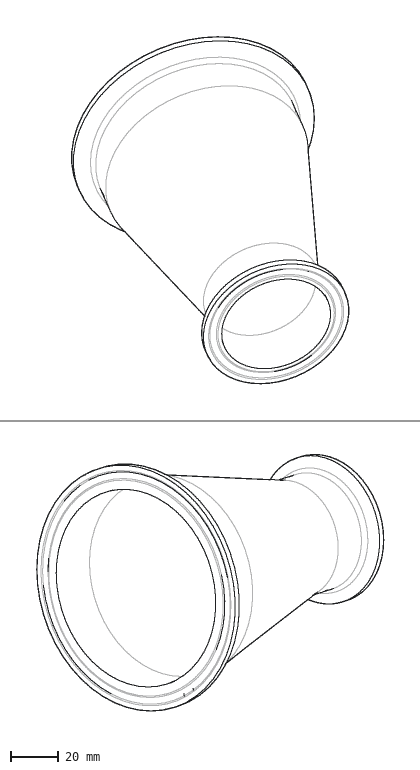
import cadquery as cq

length = 130.0
large_outer_radius = 89.0 / 2
large_bore_radius = 85.2 / 2
small_outer_radius = 50.8 / 2
small_bore_radius = 47.8 / 2

taper_start = 23.0
taper_end = 107.0

large_flange_radius = 106.0 / 2
small_flange_radius = 64.0 / 2
rim_width = 2.9
back_slope = 0.36
neck_fillet = 2.5

groove_inset = 2.7
groove_width = 3.2
groove_depth = 1.0
groove_lip_radius = 0.8


def ferrule_flange(flange_radius, tube_radius, bore_radius, tube_length):
    """Flanged tube end with its face at x = 0, running toward +X, before the groove is cut."""
    back_end = rim_width + back_slope * (flange_radius - tube_radius)
    body = (
        cq.Workplane("XY")
        .moveTo(0, bore_radius)
        .lineTo(0, flange_radius)
        .lineTo(rim_width, flange_radius)
        .lineTo(back_end, tube_radius)
        .lineTo(tube_length, tube_radius)
        .lineTo(tube_length, bore_radius)
        .close()
        .revolve(360, (0, 0, 0), (1, 0, 0))
    )
    neck_edge = cq.selectors.BoxSelector(
        (back_end - 0.1, -flange_radius, -flange_radius),
        (back_end + 0.1, flange_radius, flange_radius),
    )
    return body.edges(neck_edge).fillet(neck_fillet)


def gasket_groove(flange_radius):
    """Arc-section ring to remove from a face at x = 0."""
    outer = flange_radius - groove_inset
    inner = outer - groove_width
    return (
        cq.Workplane("XY")
        .moveTo(0, inner)
        .threePointArc((groove_depth, (inner + outer) / 2), (0, outer))
        .close()
        .revolve(360, (0, 0, 0), (1, 0, 0))
    )


def ferrule(flange_radius, tube_radius, bore_radius, tube_length):
    """Complete clamp end with its groove and rounded groove lips."""
    flange = ferrule_flange(flange_radius, tube_radius, bore_radius, tube_length)
    grooved = flange.cut(gasket_groove(flange_radius))
    groove_outer = flange_radius - groove_inset
    groove_inner = groove_outer - groove_width

    def is_groove_lip(edge):
        radius = edge.radius()
        return any(abs(radius - lip) < 0.01 for lip in (groove_inner, groove_outer))

    lips = grooved.faces("<X").edges("%CIRCLE").filter(is_groove_lip)
    return lips.fillet(groove_lip_radius)


taper = (
    cq.Workplane("XY")
    .moveTo(taper_start, large_bore_radius)
    .lineTo(taper_start, large_outer_radius)
    .lineTo(taper_end, small_outer_radius)
    .lineTo(taper_end, small_bore_radius)
    .close()
    .revolve(360, (0, 0, 0), (1, 0, 0))
)

large_end = ferrule(large_flange_radius, large_outer_radius, large_bore_radius, taper_start)
small_end = (
    ferrule(small_flange_radius, small_outer_radius, small_bore_radius, length - taper_end)
    .rotate((0, 0, 0), (0, 0, 1), 180)
    .translate((length, 0, 0))
)

result = large_end.union(taper).union(small_end)